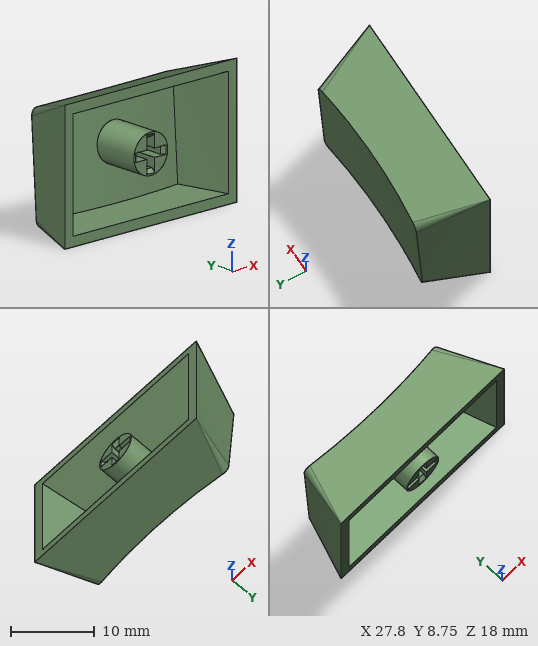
import cadquery as cq
import math

LENGTH = 27.75
HEIGHT = 18.0
RIM = 1.35

BACK_HALF_LENGTH = 11.3
BACK_TOP_Z = 6.05
BACK_BOTTOM_Z = -8.8
BACK_TOP_Y = 8.77
BACK_BOTTOM_Y = 7.83
BACK_CORNER = 0.97
RIM_CORNER = 0.005
DISH_RADIUS = 86.02
DISH_DEPTH = 0.72

FLOOR_HALF_LENGTH = 10.32
FLOOR_TOP_Z = 5.1
FLOOR_BOTTOM_Z = -7.52
FLOOR_THICKNESS = 1.2

STEM_RADIUS = 2.72
CROSS_LENGTH = 3.95
ARM_WIDTH_ACROSS_Z = 1.17
ARM_WIDTH_ACROSS_X = 1.25
LEAD_IN = 0.5

BACK_SLOPE = (BACK_TOP_Y - BACK_BOTTOM_Y) / (BACK_TOP_Z - BACK_BOTTOM_Z)
TILT = math.atan(BACK_SLOPE)


def back_y(z):
    """Y of the undished back plane at height z."""
    return BACK_BOTTOM_Y + BACK_SLOPE * (z - BACK_BOTTOM_Z)


def rectangle(half_length, bottom, top, corner=0.0, y_offset=None):
    """Rectangular wire in the plane Y = 0, or in the back plane shifted by y_offset."""
    middle = (bottom + top) / 2
    if y_offset is None:
        y, tilt = 0, 0
    else:
        y, tilt = back_y(middle) + y_offset, TILT
    plane = cq.Plane((0, y, middle), (1, 0, 0), (0, -math.cos(tilt), math.sin(tilt)))
    wire = cq.Workplane(plane).rect(2 * half_length, (top - bottom) / math.cos(tilt)).val()
    if corner:
        wire = wire.fillet2D(corner, wire.Vertices())
    return wire


def dish(y_offset):
    """Cylinder along the tilted back face that hollows it, shifted by y_offset."""
    axis_y = back_y(0) + y_offset + (DISH_RADIUS - DISH_DEPTH) / math.cos(TILT)
    direction = cq.Vector(0, math.sin(TILT), math.cos(TILT))
    start = cq.Vector(0, axis_y, 0) - direction * LENGTH
    return cq.Workplane(cq.Solid.makeCylinder(DISH_RADIUS, 2 * LENGTH, start, direction))


def tapered_body(rim, back, y_offset):
    """Ruled solid from the rim to the back outline, with its back face dished."""
    return cq.Workplane(cq.Solid.makeLoft([rim, back], True)).cut(dish(y_offset))


def outer_body():
    rim = rectangle(LENGTH / 2, -HEIGHT / 2, HEIGHT / 2, RIM_CORNER)
    back = rectangle(BACK_HALF_LENGTH, BACK_BOTTOM_Z, BACK_TOP_Z, BACK_CORNER, 0)
    return tapered_body(rim, back, 0)


def cavity():
    rim = rectangle(LENGTH / 2 - RIM, RIM - HEIGHT / 2, HEIGHT / 2 - RIM)
    floor = rectangle(FLOOR_HALF_LENGTH, FLOOR_BOTTOM_Z, FLOOR_TOP_Z, y_offset=-FLOOR_THICKNESS)
    return tapered_body(rim, floor, -FLOOR_THICKNESS)


def socket_arm(width, angle):
    """One bar of the cross, widening towards the mouth, turned about Y."""
    half = CROSS_LENGTH / 2
    outline = [
        (-half - LEAD_IN, 0), (half + LEAD_IN, 0), (half, LEAD_IN),
        (half, BACK_TOP_Y), (-half, BACK_TOP_Y), (-half, LEAD_IN),
    ]
    arm = cq.Workplane("XY").polyline(outline).close().extrude(width / 2, both=True)
    return arm.rotate((0, 0, 0), (0, 1, 0), angle)


def stem():
    post = cq.Workplane("XZ").circle(STEM_RADIUS).extrude(-BACK_TOP_Y)
    return post.cut(socket_arm(ARM_WIDTH_ACROSS_Z, 0)).cut(socket_arm(ARM_WIDTH_ACROSS_X, 90))


result = outer_body().cut(cavity().cut(stem()))